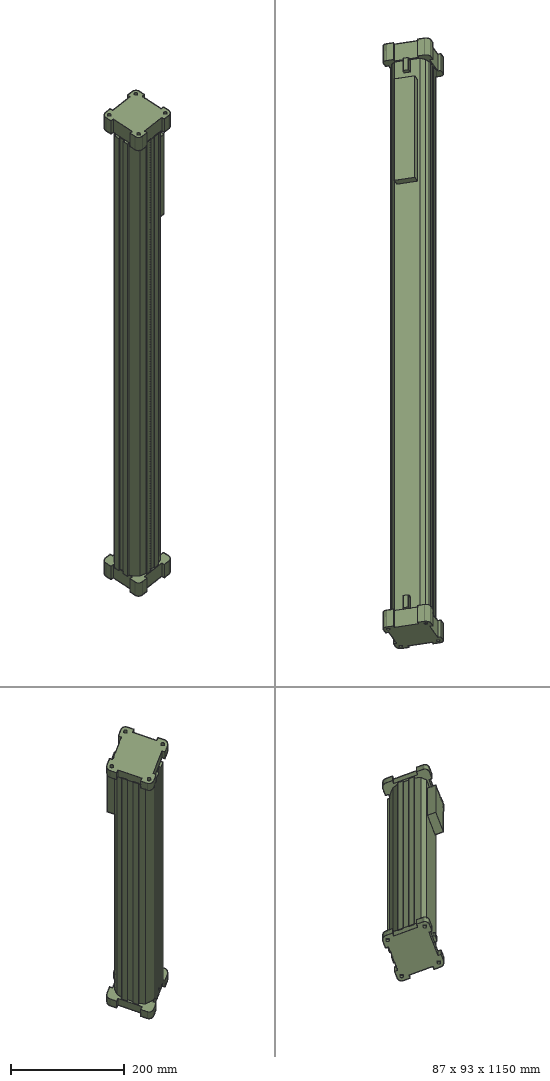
import cadquery as cq

TOTAL_LENGTH = 1150.0
CAP_HEIGHT = 33.0
CAP_SIZE = 87.0
TOTAL_DEPTH = 93.0
AXIS_Y = (CAP_SIZE - TOTAL_DEPTH) / 2

LOBE_RADIUS = 8.9
RECESS_WIDTH = 45.0
RECESS_DEPTH = 6.0
SCREW_HOLE_DIAMETER = 6.0
SCREW_HOLE_DEPTH = 17.0
TAB_WIDTH = 12.0
TAB_LENGTH = 24.0
TAB_OUTER_Y = 40.0
TAB_CHAMFER = 1.7

SHOULDER_START_X = 35.0
SHOULDER_EDGE_X = 31.0
SHOULDER_EDGE_Y = 26.0
CORNER_RADIUS = 58.0
FRONT_FLOOR_Y = 39.0
RIB_WIDTH = 10.0
RIB_PITCH = 21.0
SIDE_RIB_X = 37.0
FRONT_RIB_Y = 43.0
PROFILE_BACK_Y = 31.0

PLATE_WIDTH = 38.0
PLATE_LENGTH = 200.0
PLATE_TOP_Z = 1075.0
PLATE_OUTER_Y = TOTAL_DEPTH / 2

PROFILE_LENGTH = TOTAL_LENGTH - 2 * CAP_HEIGHT
RIB_OUTER = (RIB_PITCH + RIB_WIDTH) / 2
RIB_OFFSETS = (-RIB_PITCH / 2, RIB_PITCH / 2)


def profile_core():
    """Core of the profile about the origin: sloped shoulders, arched corners and a flat back."""
    quarter_outline = (
        cq.Workplane("XY")
        .lineTo(SHOULDER_START_X, 0)
        .lineTo(SHOULDER_START_X, RIB_OUTER)
        .lineTo(SHOULDER_EDGE_X, SHOULDER_EDGE_Y)
        .radiusArc((RIB_OUTER, FRONT_FLOOR_Y), -CORNER_RADIUS)
        .lineTo(0, FRONT_FLOOR_Y)
        .close()
    )
    quarter = quarter_outline.extrude(PROFILE_LENGTH)
    half = quarter.union(quarter.mirror("YZ"))
    core = half.union(half.mirror("XZ")).clean()
    beyond_back = cq.Workplane("XY").box(
        CAP_SIZE, CAP_SIZE, PROFILE_LENGTH, centered=(True, False, False)
    )
    return core.cut(beyond_back.translate((0, PROFILE_BACK_Y - AXIS_Y, 0)))


def add_ribs(core):
    """Add two ribs that run along each side and along the front."""
    for offset in RIB_OFFSETS:
        side_ribs = cq.Workplane("XY").center(0, offset).rect(2 * SIDE_RIB_X, RIB_WIDTH)
        front_rib = cq.Workplane("XY").center(offset, -FRONT_RIB_Y / 2).rect(RIB_WIDTH, FRONT_RIB_Y)
        core = core.union(side_ribs.extrude(PROFILE_LENGTH))
        core = core.union(front_rib.extrude(PROFILE_LENGTH))
    return core


def mounting_plate():
    """Plate that stands on the back face of the profile near its upper end."""
    thickness = PLATE_OUTER_Y - PROFILE_BACK_Y
    plate = cq.Workplane("XY").box(PLATE_WIDTH, thickness, PLATE_LENGTH, centered=(True, False, False))
    return plate.translate((0, PROFILE_BACK_Y, PLATE_TOP_Z - PLATE_LENGTH))


def make_profile():
    """Ribbed profile with its mounting plate, standing on the lower cap."""
    ribbed = add_ribs(profile_core()).translate((0, AXIS_Y, CAP_HEIGHT))
    return ribbed.union(mounting_plate())


def retaining_tab():
    """Chamfered tab that hangs from the upper cap, flat against the back face of the profile."""
    return (
        cq.Workplane("XY")
        .box(TAB_WIDTH, TAB_OUTER_Y - PROFILE_BACK_Y, TAB_LENGTH, centered=(True, False, False))
        .edges("|Z and >Y")
        .chamfer(TAB_CHAMFER)
        .translate((0, PROFILE_BACK_Y, TOTAL_LENGTH - CAP_HEIGHT - TAB_LENGTH))
    )


def make_top_cap():
    """Upper end cap: rounded corner lobes, a recess in each side, corner screw holes and a tab."""
    hole_spacing = CAP_SIZE - 2 * LOBE_RADIUS
    block = (
        cq.Workplane("XY")
        .rect(CAP_SIZE, CAP_SIZE)
        .extrude(CAP_HEIGHT)
        .edges("|Z")
        .fillet(LOBE_RADIUS)
    )
    recesses = (
        cq.Workplane("XY")
        .polarArray(CAP_SIZE / 2, 0, 360, 4)
        .rect(2 * RECESS_DEPTH, RECESS_WIDTH)
        .extrude(CAP_HEIGHT)
    )
    cap = (
        block.cut(recesses)
        .faces(">Z")
        .workplane(origin=(0, 0, CAP_HEIGHT))
        .rect(hole_spacing, hole_spacing, forConstruction=True)
        .vertices()
        .hole(SCREW_HOLE_DIAMETER, SCREW_HOLE_DEPTH)
        .translate((0, AXIS_Y, TOTAL_LENGTH - CAP_HEIGHT))
    )
    return cap.union(retaining_tab())


def make_end_caps():
    """The upper cap and its mirror image at the lower end."""
    top_cap = make_top_cap()
    bottom_cap = top_cap.mirror("XY", (0, 0, TOTAL_LENGTH / 2))
    return [top_cap, bottom_cap]


profile = make_profile()
end_caps = make_end_caps()

result = cq.Compound.makeCompound([profile.val(), *[cap.val() for cap in end_caps]])